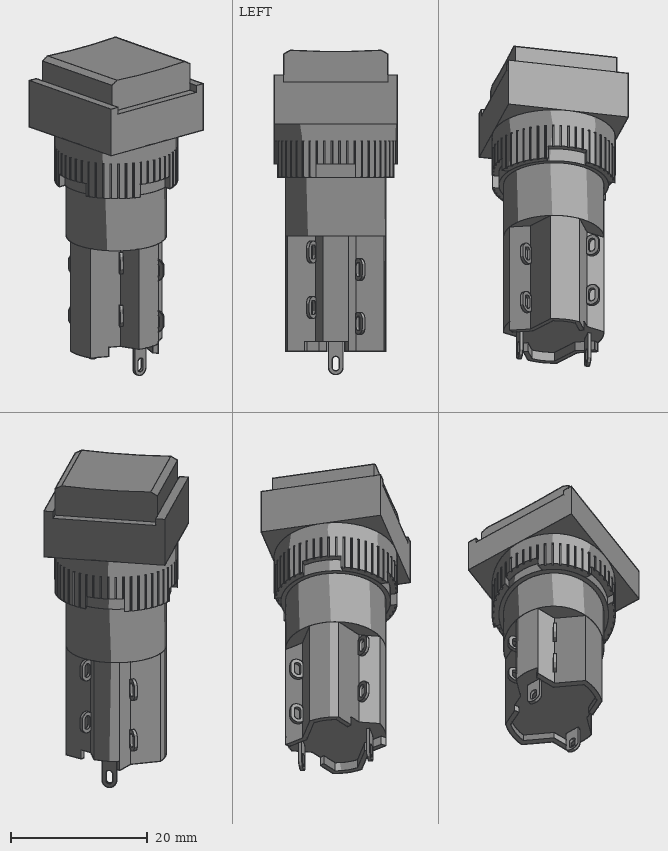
import cadquery as cq
import math

TOP_Z = 47.4
BUTTON_SEAT_Z = 42.75
BEZEL_TOP_Z = 43.8
BEZEL_BOTTOM_Z = 36.65
KNURL_TOP_Z = 34.15
WINDOW_TOP_Z = 30.75
NUT_BOTTOM_Z = 28.8
BLOCK_TOP_Z = 20.25
CAVITY_TOP_Z = 4.85
BLOCK_BOTTOM_Z = 3.4
BOTTOM_LUG_TIP_Z = 0

BEZEL_SIDE = 18
BUTTON_SIDE = 15.25
BUTTON_CHAMFER_WIDTH = 1.0
BUTTON_CHAMFER_HEIGHT = 0.55
BUTTON_TOP_SAG = 0.2

BARREL_DIAMETER = 14.7
COLLAR_DIAMETER = 16.0
NUT_DIAMETER = BEZEL_SIDE
KNURL_COUNT = 50
KNURL_WIDTH = 0.25
KNURL_DEPTH = 0.25
WINDOW_WIDTH = 5.8

LOBE_RADIUS = BARREL_DIAMETER / 2
X_LOBE_HALF_WIDTH = 1.9
Y_LOBE_HALF_WIDTH = 2.2
X_LOBE_CORNER = math.sqrt(LOBE_RADIUS**2 - X_LOBE_HALF_WIDTH**2)
Y_LOBE_CORNER = math.sqrt(LOBE_RADIUS**2 - Y_LOBE_HALF_WIDTH**2)
NOTCH_X = 4.25
NOTCH_Y = 3.0
CAVITY_WALL = 0.7
OPENING_EDGE_X = 3.45

LUG_THICKNESS = 0.47
LUG_WIDTH = 2.15
SIDE_LUG_HEIGHT = 3.2
LUG_HOLE_WIDTH = 1.0
LUG_HOLE_HEIGHT = 2.1
LUG_RIM = (LUG_WIDTH - LUG_HOLE_WIDTH) / 2
BOTTOM_LUG_X = 5.1
SIDE_LUG_REACH = 7.1
SIDE_LUG_ANGLE = 35
LOW_LUG_LEVELS = (7.5, 15.35)
HIGH_LUG_LEVELS = (9.8, 17.9)


def centred_box(size_x, size_y, bottom_z, top_z):
    """Box centred on the Z axis between two levels."""
    box = cq.Workplane("XY").workplane(offset=bottom_z).rect(size_x, size_y)
    return box.extrude(top_z - bottom_z)


def cylinder(diameter, bottom_z, top_z):
    """Cylinder on the Z axis between two levels."""
    disc = cq.Workplane("XY").workplane(offset=bottom_z).circle(diameter / 2)
    return disc.extrude(top_z - bottom_z)


def make_button():
    """Square cap with two bevelled edges and a shallow hollow top, extruded along X."""
    half_side = BUTTON_SIDE / 2
    crest_y = half_side - BUTTON_CHAMFER_WIDTH
    shoulder_z = TOP_Z - BUTTON_CHAMFER_HEIGHT
    profile = (
        cq.Workplane("YZ")
        .moveTo(-half_side, BUTTON_SEAT_Z)
        .lineTo(half_side, BUTTON_SEAT_Z)
        .lineTo(half_side, shoulder_z)
        .lineTo(crest_y, TOP_Z)
        .threePointArc((0, TOP_Z - BUTTON_TOP_SAG), (-crest_y, TOP_Z))
        .lineTo(-half_side, shoulder_z)
        .close()
    )
    return profile.extrude(half_side, both=True)


def make_housing():
    """Square bezel with a channel along X for the button, on a barrel with a collar for the nut."""
    bezel = centred_box(BEZEL_SIDE, BEZEL_SIDE, BEZEL_BOTTOM_Z, BEZEL_TOP_Z)
    channel = centred_box(BEZEL_SIDE, BUTTON_SIDE, BUTTON_SEAT_Z, BEZEL_TOP_Z)
    barrel = cylinder(BARREL_DIAMETER, BLOCK_TOP_Z, BEZEL_BOTTOM_Z)
    collar = cylinder(COLLAR_DIAMETER, NUT_BOTTOM_Z, BEZEL_BOTTOM_Z)
    return bezel.cut(channel).union(barrel).union(collar)


def make_knurl_cutter():
    """Radial groove cutters, with one groove centred on the -Y side."""
    cutter_depth = 2 * KNURL_DEPTH
    return (
        cq.Workplane("XY")
        .workplane(offset=NUT_BOTTOM_Z)
        .polarArray(NUT_DIAMETER / 2, -90, 360, KNURL_COUNT)
        .rect(cutter_depth, KNURL_WIDTH)
        .extrude(KNURL_TOP_Z - NUT_BOTTOM_Z)
    )


def make_window_cutter():
    """Crossed bars that open wrench windows in the lower rim of the nut on its four sides."""
    x_bar = centred_box(NUT_DIAMETER, WINDOW_WIDTH, NUT_BOTTOM_Z, WINDOW_TOP_Z)
    y_bar = centred_box(WINDOW_WIDTH, NUT_DIAMETER, NUT_BOTTOM_Z, WINDOW_TOP_Z)
    return x_bar.union(y_bar)


def make_nut():
    """Knurled ring nut around the collar, tight against the bezel."""
    ring = cylinder(NUT_DIAMETER, NUT_BOTTOM_Z, BEZEL_BOTTOM_Z)
    bore = cylinder(COLLAR_DIAMETER, NUT_BOTTOM_Z, BEZEL_BOTTOM_Z)
    return ring.cut(bore).cut(make_knurl_cutter()).cut(make_window_cutter())


def cross_outline(bottom_z):
    """Closed outline of the block: four arc-ended lobes joined by V notches."""
    return (
        cq.Workplane("XY")
        .workplane(offset=bottom_z)
        .moveTo(X_LOBE_CORNER, -X_LOBE_HALF_WIDTH)
        .threePointArc((LOBE_RADIUS, 0), (X_LOBE_CORNER, X_LOBE_HALF_WIDTH))
        .lineTo(NOTCH_X, NOTCH_Y)
        .lineTo(Y_LOBE_HALF_WIDTH, Y_LOBE_CORNER)
        .threePointArc((0, LOBE_RADIUS), (-Y_LOBE_HALF_WIDTH, Y_LOBE_CORNER))
        .lineTo(-NOTCH_X, NOTCH_Y)
        .lineTo(-X_LOBE_CORNER, X_LOBE_HALF_WIDTH)
        .threePointArc((-LOBE_RADIUS, 0), (-X_LOBE_CORNER, -X_LOBE_HALF_WIDTH))
        .lineTo(-NOTCH_X, -NOTCH_Y)
        .lineTo(-Y_LOBE_HALF_WIDTH, -Y_LOBE_CORNER)
        .threePointArc((0, -LOBE_RADIUS), (Y_LOBE_HALF_WIDTH, -Y_LOBE_CORNER))
        .lineTo(NOTCH_X, -NOTCH_Y)
        .close()
    )


def make_bottom_cavity():
    """Inset cross-shaped hollow under the block."""
    depth = CAVITY_TOP_Z - BLOCK_BOTTOM_Z
    return cross_outline(BLOCK_BOTTOM_Z).offset2D(-CAVITY_WALL, "intersection").extrude(depth)


def make_opening_cutter():
    """Gap in the cavity wall round the (+X, -Y) notch and across the +X lobe end."""
    flank_run_x = NOTCH_X - Y_LOBE_HALF_WIDTH
    flank_run_y = Y_LOBE_CORNER - NOTCH_Y
    edge_y = -NOTCH_Y - (NOTCH_X - OPENING_EDGE_X) * flank_run_y / flank_run_x
    flank_length = math.hypot(flank_run_x, flank_run_y)
    reach_x = 2 * CAVITY_WALL * flank_run_y / flank_length
    reach_y = 2 * CAVITY_WALL * flank_run_x / flank_length
    outer_x = LOBE_RADIUS + CAVITY_WALL
    outer_y = X_LOBE_HALF_WIDTH + outer_x - X_LOBE_CORNER
    return (
        cq.Workplane("XY")
        .workplane(offset=BLOCK_BOTTOM_Z)
        .moveTo(OPENING_EDGE_X - reach_x, edge_y + reach_y)
        .lineTo(OPENING_EDGE_X + reach_x, edge_y - reach_y)
        .lineTo(outer_x, edge_y - reach_y)
        .lineTo(outer_x, outer_y)
        .lineTo(X_LOBE_CORNER - X_LOBE_HALF_WIDTH, 0)
        .close()
        .extrude(CAVITY_TOP_Z - BLOCK_BOTTOM_Z)
    )


def slot_plate(height, middle_z, thickness, width):
    """Upright round-ended plate in the YZ plane, centred on X = 0, Y = 0."""
    plane = cq.Workplane("YZ").center(0, middle_z)
    return plane.slot2D(height, width, 90).extrude(thickness / 2, both=True)


def make_side_lug(side_x, side_y, middle_z):
    """Lug standing radially out of one V notch."""
    plate = slot_plate(SIDE_LUG_HEIGHT, middle_z, LUG_THICKNESS, LUG_WIDTH)
    hole = slot_plate(LUG_HOLE_HEIGHT, middle_z, LUG_THICKNESS, LUG_HOLE_WIDTH)
    lug = plate.cut(hole).translate((0, SIDE_LUG_REACH - LUG_WIDTH / 2, 0))
    angle = math.radians(SIDE_LUG_ANGLE)
    azimuth = math.degrees(math.atan2(side_y * math.sin(angle), side_x * math.cos(angle)))
    return lug.rotate((0, 0, 0), (0, 0, 1), azimuth - 90)


def make_bottom_lug(place_x):
    """Lug hanging from the cavity ceiling with a round tip; its round top is buried in the block."""
    hole_middle_z = BOTTOM_LUG_TIP_Z + LUG_RIM + LUG_HOLE_HEIGHT / 2
    height = CAVITY_TOP_Z + LUG_WIDTH / 2 - BOTTOM_LUG_TIP_Z
    plate = slot_plate(height, BOTTOM_LUG_TIP_Z + height / 2, LUG_THICKNESS, LUG_WIDTH)
    hole = slot_plate(LUG_HOLE_HEIGHT, hole_middle_z, LUG_THICKNESS, LUG_HOLE_WIDTH)
    return plate.cut(hole).translate((place_x, 0, 0))


def make_contact_block():
    """Cross-shaped block with a cavity below, eight side lugs and two bottom lugs."""
    block = cross_outline(BLOCK_BOTTOM_Z).extrude(BLOCK_TOP_Z - BLOCK_BOTTOM_Z)
    opening = make_opening_cutter()
    block = block.cut(make_bottom_cavity())
    block = block.cut(opening).cut(opening.rotate((0, 0, 0), (0, 0, 1), 180))
    for side_x in (-1, 1):
        block = block.union(make_bottom_lug(side_x * BOTTOM_LUG_X))
        for side_y in (-1, 1):
            levels = LOW_LUG_LEVELS if side_x == side_y else HIGH_LUG_LEVELS
            for level in levels:
                block = block.union(make_side_lug(side_x, side_y, level))
    return block


button = make_button()
housing = make_housing()
nut = make_nut()
contact_block = make_contact_block()

result = cq.Compound.makeCompound([button.val(), housing.val(), nut.val(), contact_block.val()])